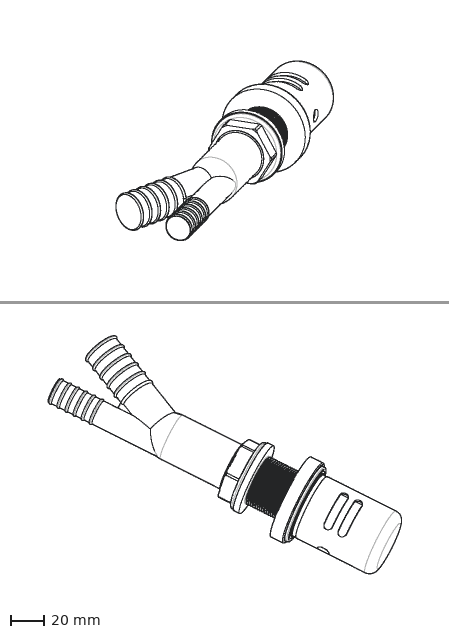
import cadquery as cq
import math


cap_top = 66.9
cap_radius = 20.8
cap_top_fillet = 5.5
cap_skirt_top = 14.5
cap_skirt_radius = 20.5
cap_lip_height = 0.7
cap_lip_radius = 21.2
cap_wall = 2.0
slot_height = 5.4
slot_length = 25.5
slot_centers_y = (31.0, 40.7)
vent_radius = 3.8
vent_y = 33.3

core_radius = 14.87

flange_radius = 26.95
flange_bottom = 0.5
flange_top = 9.5
flange_chamfer = 0.7
seat_height = 2.0
seat_radius = 22.5
rim_inner_radius = 23.5
rim_outer_radius = 25.0
rim_fillet = 0.7

thread_radius = 15.9
thread_root_radius = 14.65
thread_pitch = 1.5
thread_turns = 27

nut_top = -22.8
washer_radius = 22.8
washer_thickness = 4.0
nut_flange_radius = 22.25
nut_flange_thickness = 3.0
nut_flange_fillet = 1.8
hex_across_flats = 35.8
hex_corner_radius = 20.23
hex_height = 9.0
hex_chamfer = 0.7

tube_radius = 14.87
tube_end = -80.5

bead_count = 6
bead_radius = 1.0
drain_radius = 11.0
drain_bead_rise = 0.78
drain_length = 70.7
drain_angle = 25.0
drain_bead_pitch = 7.05
inlet_radius = 7.8
inlet_inset = 0.11
inlet_bead_rise = 0.7
inlet_end = cap_top - 223.5
inlet_bead_pitch = 5.48
inlet_last_bead_offset = 1.5

web_end = -117.4
web_thickness = 3.5

seat_top = flange_top + seat_height
core_top = cap_top - cap_wall
cap_bore_radius = cap_radius - cap_wall
cap_bore_fillet = cap_top_fillet - cap_wall
washer_bottom = nut_top - washer_thickness
nut_flange_bottom = washer_bottom - nut_flange_thickness
hex_bottom = nut_flange_bottom - hex_height
inlet_x = tube_radius - inlet_radius - inlet_inset
drain_lean = math.radians(drain_angle)


def rod(radius, low, high):
    """Cylinder on the Y axis between two heights."""
    return cq.Workplane("XZ", origin=(0, high, 0)).circle(radius).extrude(high - low)


def make_cap():
    shell = rod(cap_radius, cap_skirt_top, cap_top).faces(">Y").edges().fillet(cap_top_fillet)
    skirt = rod(cap_skirt_radius, seat_top, cap_skirt_top)
    lip = rod(cap_lip_radius, seat_top, seat_top + cap_lip_height)
    bore = rod(cap_bore_radius, seat_top, core_top).faces(">Y").edges().fillet(cap_bore_fillet)
    slots = (
        cq.Workplane("XY")
        .pushPoints([(0, y) for y in slot_centers_y])
        .slot2D(slot_length, slot_height)
        .extrude(cap_radius)
    )
    vent = cq.Workplane("YZ").center(vent_y, 0).circle(vent_radius).extrude(cap_radius)
    return shell.union(skirt).union(lip).cut(bore).cut(slots).cut(vent)


def make_flange():
    flange = rod(flange_radius, flange_bottom, flange_top).faces(">Y").edges().chamfer(flange_chamfer)
    seat = rod(seat_radius, flange_top, seat_top)
    rim = rod(rim_outer_radius, flange_top, seat_top)
    rim = rim.cut(rod(rim_inner_radius, flange_top, seat_top)).faces(">Y").edges().fillet(rim_fillet)
    return flange.union(seat).union(rim)


def make_shank():
    """Shank with trapezoidal ridges from the flange to just past the nut."""
    quarter = thread_pitch / 4
    profile = cq.Workplane("XY").lineTo(thread_root_radius, 0)
    for turn in range(thread_turns):
        start = -turn * thread_pitch
        profile = profile.lineTo(thread_radius, start - quarter)
        profile = profile.lineTo(thread_radius, start - 2 * quarter)
        profile = profile.lineTo(thread_root_radius, start - 3 * quarter)
        profile = profile.lineTo(thread_root_radius, start - thread_pitch)
    profile = profile.lineTo(0, -thread_turns * thread_pitch).close()
    return profile.revolve(360, (0, 0, 0), (0, 1, 0))


def make_nut():
    washer = rod(washer_radius, washer_bottom, nut_top)
    nut_flange = rod(nut_flange_radius, nut_flange_bottom, washer_bottom)
    nut_flange = nut_flange.faces("<Y").edges().fillet(nut_flange_fillet)
    hexagon = (
        cq.Workplane("XZ", origin=(0, nut_flange_bottom, 0))
        .transformed(rotate=(0, 0, 30))
        .polygon(6, hex_across_flats, circumscribed=True)
        .extrude(hex_height)
    )
    corner_limit = rod(hex_corner_radius, hex_bottom, nut_flange_bottom)
    corner_limit = corner_limit.faces("<Y").edges().chamfer(hex_chamfer)
    return washer.union(nut_flange).union(hexagon.intersect(corner_limit))


def make_tube():
    tube = rod(tube_radius, tube_end, nut_top)
    return tube.union(cq.Workplane("XY", origin=(0, tube_end, 0)).sphere(tube_radius))


def make_hose_end(radius, length, bead_rise, bead_pitch, last_bead):
    """Rod from the origin along -Y with round beads near its free end."""
    hose_end = rod(radius, -length, 0)
    bead_center = radius + bead_rise - bead_radius
    for index in range(bead_count):
        bead_y = -length + last_bead + index * bead_pitch
        bead = (
            cq.Workplane("XY")
            .center(bead_center, bead_y)
            .circle(bead_radius)
            .revolve(360, (-bead_center, 0, 0), (-bead_center, 1, 0))
        )
        hose_end = hose_end.union(bead)
    return hose_end


def make_drain():
    drain = make_hose_end(drain_radius, drain_length, drain_bead_rise, drain_bead_pitch, bead_radius)
    return drain.rotate((0, 0, 0), (0, 0, 1), -drain_angle).translate((0, tube_end, 0))


def make_inlet():
    length = tube_end - inlet_end
    inlet = make_hose_end(inlet_radius, length, inlet_bead_rise, inlet_bead_pitch, inlet_last_bead_offset)
    return inlet.translate((inlet_x, tube_end, 0))


def make_web():
    """Flat plate between the drain axis and the inlet axis."""
    drain_x_at_web_end = (web_end - tube_end) * math.tan(drain_lean)
    return (
        cq.Workplane("XY", origin=(0, 0, -web_thickness / 2))
        .polyline([(0, tube_end), (inlet_x, tube_end), (inlet_x, web_end), (drain_x_at_web_end, web_end)])
        .close()
        .extrude(web_thickness)
    )


def make_body():
    body = rod(core_radius, 0, core_top)
    sections = (
        make_flange(),
        make_shank(),
        make_nut(),
        make_tube(),
        make_drain(),
        make_inlet(),
        make_web(),
    )
    for section in sections:
        body = body.union(section)
    return body


cap = make_cap()
body = make_body()

result = cq.Compound.makeCompound([cap.val(), body.val()])